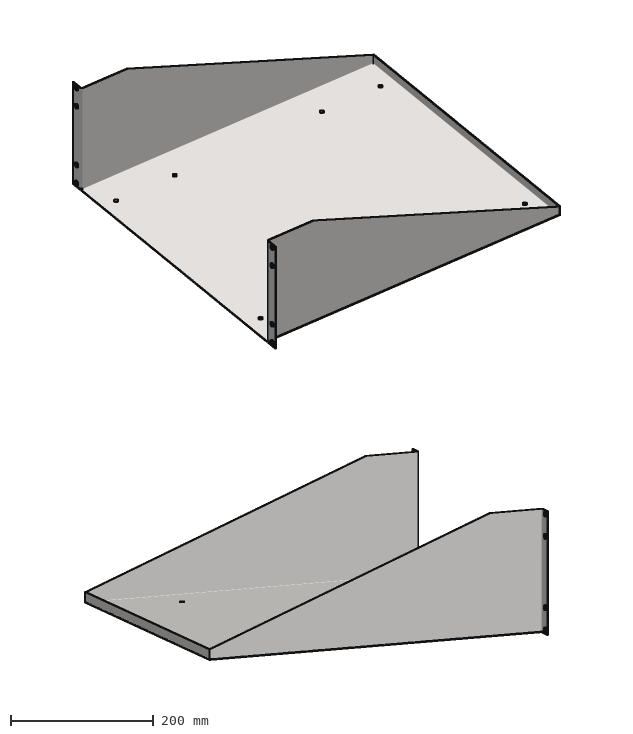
import cadquery as cq

total_width = 482.5
depth = 508.0
height = 177.0

sheet = 1.35
tray_bend_inner = 0.5
tray_bend_outer = tray_bend_inner + sheet
flange_bend_inner = 1.5
flange_bend_outer = flange_bend_inner + sheet

tray_width = 444.5
lip_height = 16.0
wall_top_depth = 80.5
half_tray = tray_width / 2
wall_inner = half_tray - sheet

flange_hole_diameter = 7.5
flange_hole_spacing = 465.5
flange_hole_outer_spacing = 165.5
flange_hole_inner_spacing = 102.0

floor_hole_diameter = 6.0
floor_hole_spacing = 343.5
floor_hole_outer_spacing = 458.0
floor_hole_inner_spacing = 255.0


def box(x_range, y_range, z_range):
    """Axis-aligned box from its (low, high) limits."""
    sizes = [high - low for low, high in (x_range, y_range, z_range)]
    corner = (x_range[0], y_range[0], z_range[0])
    return cq.Workplane("XY").box(*sizes, centered=False).translate(corner)


def round_floor_bends(solid, radius):
    """Round the two side edges and the back edge of the bottom face."""
    return solid.faces("<Z").edges("not <Y").fillet(radius)


def make_tray():
    """Floor, two sloping side walls and the low back lip, open at the top and front."""
    blank = box((-half_tray, half_tray), (0, depth), (0, height))
    hollow = box((-wall_inner, wall_inner), (0, depth - sheet), (sheet, height))
    side_profile = (
        cq.Workplane("YZ")
        .polyline([
            (0, 0),
            (depth, 0),
            (depth, lip_height),
            (depth - sheet, lip_height),
            (wall_top_depth, height),
            (0, height),
        ])
        .close()
        .extrude(half_tray, both=True)
    )
    return (
        round_floor_bends(blank, tray_bend_outer)
        .cut(round_floor_bends(hollow, tray_bend_inner))
        .intersect(side_profile)
    )


def flange_bend_space():
    """Front corner of the right wall, full height, cleared for the flange bend."""
    return box((wall_inner, half_tray), (0, flange_bend_outer), (0, height))


def make_flange():
    """Right mounting flange with the quarter-round bend that joins it to the wall."""
    bend_end = half_tray + flange_bend_inner
    plate = box((bend_end, total_width / 2), (0, sheet), (0, height))
    bend_tube = (
        cq.Workplane("XY")
        .center(bend_end, flange_bend_outer)
        .circle(flange_bend_outer)
        .circle(flange_bend_inner)
        .extrude(height)
    )
    bend_quarter = box((wall_inner, bend_end), (0, flange_bend_outer), (tray_bend_outer, height))
    return plate.union(bend_tube.intersect(bend_quarter))


def hole_centers(side_spacing, outer_spacing, inner_spacing, middle):
    """Eight centers: on each side an outer and an inner pair, mirrored about the middle."""
    return [
        (side * side_spacing / 2, middle + end * spacing / 2)
        for side in (-1, 1)
        for spacing in (outer_spacing, inner_spacing)
        for end in (-1, 1)
    ]


def flange_hole_cutters():
    """Four holes through each mounting flange."""
    centers = hole_centers(
        flange_hole_spacing, flange_hole_outer_spacing, flange_hole_inner_spacing, height / 2
    )
    return cq.Workplane("XZ").pushPoints(centers).circle(flange_hole_diameter / 2).extrude(-sheet)


def floor_hole_cutters():
    """Two rows of four holes through the floor."""
    centers = hole_centers(
        floor_hole_spacing, floor_hole_outer_spacing, floor_hole_inner_spacing, depth / 2
    )
    return cq.Workplane("XY").pushPoints(centers).circle(floor_hole_diameter / 2).extrude(sheet)


bend_space = flange_bend_space()
flange = make_flange()
body = (
    make_tray()
    .cut(bend_space)
    .cut(bend_space.mirror("YZ"))
    .union(flange)
    .union(flange.mirror("YZ"))
)
result = body.cut(flange_hole_cutters()).cut(floor_hole_cutters())